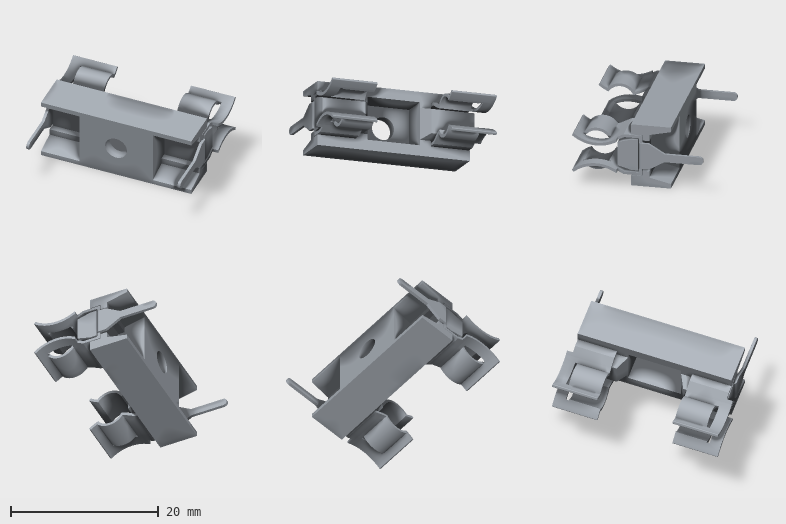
import cadquery as cq
import math


housing_length = 22.09
housing_depth = 5.52
housing_height = 9.0
hole_diameter = 3.2

clip_inner_x = 5.4
pocket_depth = 3.0
pocket_mouth_half_height = 3.83
pocket_floor_half_height = 3.15
window_half_height = 2.24

slot_half_height = 3.02
slot_floor_y = 3.93
block_bottom_y = 4.57
block_top_y = 7.38
block_top_half_height = 1.71
block_top_inner_x = 4.78
block_base_inner_x = 3.8

front_wall = 1.5
cavity_half_height = slot_half_height

clip_length = 23.8
sheet = 0.4
base_bottom_y = 4.0
leg_half_height = 2.93
leg_bend_radius = 0.2
wide_start_y = block_top_y

arc_center_y = 10.12
arc_center_z = 6.65
arc_outer_radius = 4.93
arc_inner_radius = arc_outer_radius + sheet
arc_start_angle = 27.3
arc_tip_angle = 40.0
tip_radius = 0.1

strip_front_y = 8.52
strip_back_y = 12.28
strip_crest_z = 3.05
strip_end_x = 9.9
slit_end_x = 10.33

tail_outer_x = 11.3
tail_bend_radius = 0.33
tail_root_half_width = 1.88
tail_half_width = 0.57
taper_start_y = 3.05
taper_end_y = 0.85
tail_tip_y = -4.5

half_length = housing_length / 2
half_height = housing_height / 2


def box(x_range, y_range, z_range):
    """Box that fills the given ranges along X, Y and Z."""
    sizes = [end - start for start, end in (x_range, y_range, z_range)]
    corner = (x_range[0], y_range[0], z_range[0])
    return cq.Workplane("XY").box(*sizes, centered=False).translate(corner)


def extrude_yz(points, x_start, x_end):
    """Closed (Y, Z) outline extruded from x_start to x_end."""
    return cq.Workplane("YZ", origin=(x_start, 0, 0)).polyline(points).close().extrude(x_end - x_start)


def both_sides(upper):
    """Upper half of a mirrored outline, continued through the lower half in order."""
    return upper + [(y, -z) for y, z in reversed(upper)]


def front_pocket():
    outline = both_sides([
        (0, pocket_mouth_half_height),
        (pocket_depth, pocket_floor_half_height),
        (pocket_depth, window_half_height),
        (slot_floor_y, window_half_height),
    ])
    return extrude_yz(outline, clip_inner_x, half_length)


def clip_slot():
    return box(
        (clip_inner_x, half_length),
        (slot_floor_y, housing_depth),
        (-slot_half_height, slot_half_height),
    )


def block():
    """Block that backs up the fuse end, sloped toward the middle of the holder."""
    outline = both_sides([
        (block_bottom_y, window_half_height),
        (housing_depth, window_half_height),
        (block_top_y, block_top_half_height),
    ])
    side_limits = (
        cq.Workplane("XY")
        .polyline([
            (half_length, block_bottom_y),
            (half_length, block_top_y),
            (block_top_inner_x, block_top_y),
            (block_base_inner_x, housing_depth),
            (block_base_inner_x, block_bottom_y),
        ])
        .close()
        .extrude(half_height, both=True)
    )
    return extrude_yz(outline, block_base_inner_x, half_length).intersect(side_limits)


def housing_body():
    body = box((-half_length, half_length), (0, housing_depth), (-half_height, half_height))
    body = body.cut(box(
        (-block_base_inner_x, block_base_inner_x),
        (front_wall, housing_depth),
        (-cavity_half_height, cavity_half_height),
    ))
    hole = cq.Workplane("XZ").circle(hole_diameter / 2).extrude(-housing_depth)
    end_recess = front_pocket().union(clip_slot())
    end_block = block()
    return (
        body.cut(hole)
        .cut(end_recess)
        .cut(end_recess.mirror("YZ"))
        .union(end_block)
        .union(end_block.mirror("YZ"))
    )


def arc_point(radius, angle, side):
    """Point of a spring at an angle measured from where it is nearest the fuse toward the tip."""
    turn = math.radians(angle)
    return arc_center_y + radius * math.sin(turn), side * (arc_center_z - radius * math.cos(turn))


def leg_kink(radius, leg_z, side):
    """Where the slope tangent to the spring arc meets the flat leg face at distance leg_z from Z = 0."""
    y, z = arc_point(radius, -arc_start_angle, side)
    return y - (leg_z - abs(z)) / math.tan(math.radians(arc_start_angle)), side * leg_z


def leg(side):
    """Half of the base, bent up into a leg that ends in a curved spring, as wide as the spring."""
    base_top_y = base_bottom_y + sheet
    outer_z = leg_half_height
    inner_z = leg_half_height - sheet

    def outer_arc(angle):
        return arc_point(arc_outer_radius, angle, side)

    def inner_arc(angle):
        return arc_point(arc_inner_radius, angle, side)

    strip = (
        cq.Workplane("YZ", origin=(clip_inner_x, 0, 0))
        .moveTo(base_bottom_y, 0)
        .lineTo(base_bottom_y, side * (outer_z - leg_bend_radius))
        .tangentArcPoint((base_bottom_y + leg_bend_radius, side * outer_z), relative=False)
        .lineTo(*leg_kink(arc_outer_radius, outer_z, side))
        .lineTo(*outer_arc(-arc_start_angle))
        .threePointArc(outer_arc(0), outer_arc(arc_tip_angle))
        .lineTo(*inner_arc(arc_tip_angle))
        .threePointArc(inner_arc(0), inner_arc(-arc_start_angle))
        .lineTo(*leg_kink(arc_inner_radius, inner_z, side))
        .lineTo(base_top_y + leg_bend_radius, side * inner_z)
        .tangentArcPoint((base_top_y, side * (inner_z - leg_bend_radius)), relative=False)
        .lineTo(base_top_y, 0)
        .close()
        .extrude(clip_length / 2 - clip_inner_x)
    )
    return strip.faces(">Y").edges("|X").fillet(tip_radius)


def bowed_strip(side):
    """Ring segment bowed away from the fuse, ending in the thickness of the spring."""
    def spring_z(y):
        return arc_center_z - math.sqrt(arc_outer_radius ** 2 - (y - arc_center_y) ** 2)

    front_z = spring_z(strip_front_y)
    back_z = spring_z(strip_back_y)
    chord = math.hypot(strip_back_y - strip_front_y, back_z - front_z)
    tilt = math.atan2(back_z - front_z, strip_back_y - strip_front_y)
    middle_y = (strip_front_y + strip_back_y) / 2
    middle_z = (front_z + back_z) / 2
    rise = strip_crest_z - middle_z
    radius = (chord ** 2 / 4 + rise ** 2) / (2 * rise)
    offset = radius - rise
    center_y = middle_y + offset * math.sin(tilt)
    center_z = middle_z - offset * math.cos(tilt)

    strip_width = strip_end_x - clip_inner_x
    plane = cq.Workplane("YZ", origin=(clip_inner_x, 0, 0))
    ring = plane.center(center_y, side * center_z).circle(radius).circle(radius - sheet).extrude(strip_width)
    spring_disc = plane.center(arc_center_y, side * arc_center_z).circle(arc_inner_radius).extrude(strip_width)
    return ring.intersect(spring_disc)


def tail():
    """Tail bent forward from the base, tapering to a narrow blade with a round end."""
    base_top_y = base_bottom_y + sheet
    tail_inner_x = tail_outer_x - sheet
    bend_end_x = tail_inner_x - tail_bend_radius
    bend_end_y = base_bottom_y - tail_bend_radius
    bend_profile = (
        cq.Workplane("XY")
        .moveTo(bend_end_x, base_top_y)
        .lineTo(tail_outer_x - tail_bend_radius, base_top_y)
        .radiusArc((tail_outer_x, base_top_y - tail_bend_radius), tail_bend_radius)
        .lineTo(tail_outer_x, tail_tip_y)
        .lineTo(tail_inner_x, tail_tip_y)
        .lineTo(tail_inner_x, bend_end_y)
        .radiusArc((bend_end_x, base_bottom_y), -tail_bend_radius)
        .close()
        .extrude(tail_root_half_width, both=True)
    )
    blade_end_y = tail_tip_y + tail_half_width
    blade_outline = (
        cq.Workplane("YZ", origin=(bend_end_x, 0, 0))
        .moveTo(base_top_y, tail_root_half_width)
        .lineTo(taper_start_y, tail_root_half_width)
        .lineTo(taper_end_y, tail_half_width)
        .lineTo(blade_end_y, tail_half_width)
        .threePointArc((tail_tip_y, 0), (blade_end_y, -tail_half_width))
        .lineTo(taper_end_y, -tail_half_width)
        .lineTo(taper_start_y, -tail_root_half_width)
        .lineTo(base_top_y, -tail_root_half_width)
        .close()
        .extrude(tail_outer_x - bend_end_x)
    )
    return bend_profile.intersect(blade_outline)


def clip():
    """Complete clip for the +X end: legs with a narrow foot, slit springs, bowed strips and tail."""
    narrowing = box((half_length, clip_length / 2), (0, wide_start_y), (-half_height, half_height))
    slit = box((clip_inner_x, slit_end_x), (strip_front_y, strip_back_y), (-half_height, half_height))
    legs = leg(1).union(leg(-1))
    body = legs.cut(narrowing).cut(slit)
    for side in (1, -1):
        body = body.union(bowed_strip(side))
    return body.union(tail())


housing = housing_body()
clips = [clip() if end > 0 else clip().mirror("YZ") for end in (-1, 1)]

result = cq.Compound.makeCompound([
    housing.solids().val(),
    *[body.solids().val() for body in clips],
])